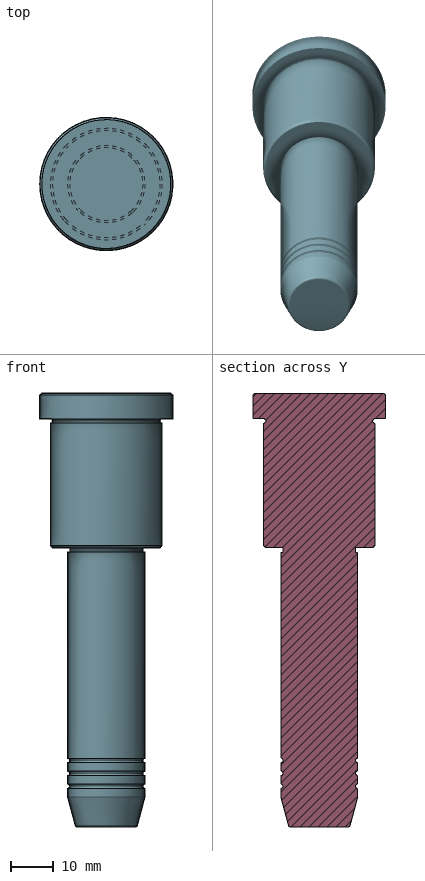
import cadquery as cq
import math

total_length = 101.0

head_diameter = 31.0
head_thickness = 6.0
head_chamfer = 0.5

body_diameter = 26.0
body_length = 30.0
body_chamfer = 0.5

shank_diameter = 18.0

shank_relief_diameter = 17.0
shank_relief_width = 1.0

tip_length = 7.0
tip_half_angle = 15.0
tip_fillet = 0.5

groove_count = 3
groove_pitch = 3.0
groove_radius = 0.5
lowest_groove_height = 9.5

section_plane = cq.Plane(origin=(0, 0, 0), xDir=(-1, 0, 0), normal=(0, 1, 0))


def turn(outline):
    """Revolve an outline in the radial section about Z, keeping the seams between its faces."""
    return outline.close().revolve(360, (0, 0), (0, 1), clean=False)


def make_pin():
    """The stepped pin with its rounded tip, before the grooves are cut."""
    head_radius = head_diameter / 2
    head_bottom = total_length - head_thickness

    body_radius = body_diameter / 2
    body_bottom = head_bottom - body_length

    shank_radius = shank_diameter / 2
    shank_relief_radius = shank_relief_diameter / 2
    shank_relief_end = body_bottom - shank_relief_width

    tip_radius = shank_radius - tip_length * math.tan(math.radians(tip_half_angle))

    pin = turn(cq.Workplane(section_plane).polyline([
        (0, total_length),
        (head_radius - head_chamfer, total_length),
        (head_radius, total_length - head_chamfer),
        (head_radius, head_bottom),
        (body_radius, head_bottom),
        (body_radius, body_bottom + body_chamfer),
        (body_radius - body_chamfer, body_bottom),
        (shank_relief_radius, body_bottom),
        (shank_relief_radius, shank_relief_end),
        (shank_radius, shank_relief_end),
        (shank_radius, tip_length),
        (tip_radius, 0),
        (0, 0),
    ]))
    return pin.faces("<Z").edges().fillet(tip_fillet)


def make_groove(surface_diameter, middle):
    """Ring to remove for one half-round groove, centred on the surface at the given height."""
    rim_radius = surface_diameter / 2
    floor_radius = rim_radius - groove_radius
    return turn(
        cq.Workplane(section_plane)
        .moveTo(rim_radius, middle + groove_radius)
        .radiusArc((floor_radius, middle), -groove_radius)
        .radiusArc((rim_radius, middle - groove_radius), -groove_radius)
    )


result = make_pin()
under_head = total_length - head_thickness - groove_radius
result = result.cut(make_groove(body_diameter, under_head), clean=False)
for index in range(groove_count):
    groove_height = lowest_groove_height + index * groove_pitch
    result = result.cut(make_groove(shank_diameter, groove_height), clean=False)